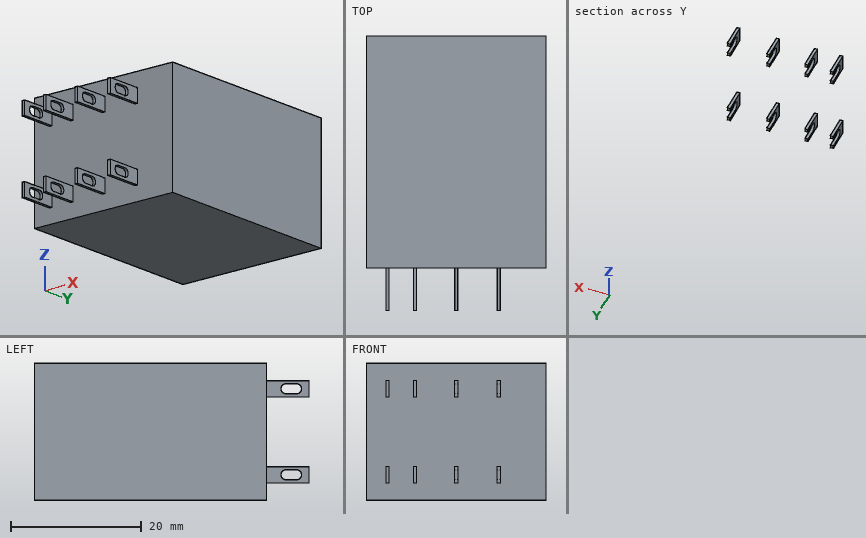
import cadquery as cq

total_length = 42.0
body_width = 27.5
body_height = 21.0

terminal_length = 6.5
terminal_thickness = 0.5
terminal_height = 2.5
terminal_x_positions = (-10.5, -6.3, 0.0, 6.5)
row_spacing = 13.15

slot_length = 3.1
slot_height = 1.5
slot_center_from_tip = 2.75

body_length = total_length - terminal_length


def make_body():
    """Rectangular housing with its terminal face on the plane Y = 0."""
    return cq.Workplane("XY").box(body_width, body_length, body_height, centered=(True, False, True))


def make_terminal():
    """Slotted blade centred on X = 0 and Z = 0, reaching from Y = 0 towards -Y."""
    blade = (
        cq.Workplane("XY")
        .box(terminal_thickness, terminal_length, terminal_height)
        .translate((0, -terminal_length / 2, 0))
    )
    slot = (
        cq.Workplane("YZ")
        .center(slot_center_from_tip - terminal_length, 0)
        .slot2D(slot_length, slot_height)
        .extrude(terminal_thickness, both=True)
    )
    return blade.cut(slot)


result = make_body()
terminal = make_terminal()
for x in terminal_x_positions:
    for z in (-row_spacing / 2, row_spacing / 2):
        result = result.union(terminal.translate((x, 0, z)))